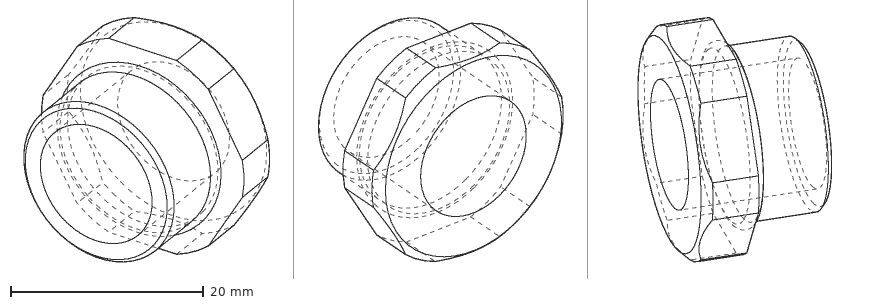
import cadquery as cq
import math

head_diameter = 24.95
across_flats = 23.5
head_sides = 6
head_length = 6.0
head_chamfer_radial = 1.0
head_chamfer_axial = 1.0

total_length = 15.0
shank_diameter = 18.55
shank_chamfer = 0.52
ring_outer_diameter = 19.97
bore_diameter = 13.78

across_corners = across_flats / math.cos(math.pi / head_sides)
head_radius = head_diameter / 2
shank_radius = shank_diameter / 2
shank_length = total_length - head_length
ring_bulge = ring_outer_diameter / 2 - shank_radius
ring_width = 2 * ring_bulge


def revolve_about_y(profile):
    """Turn a closed XY profile fully around the Y axis."""
    return profile.close().revolve(360, (0, 0, 0), (0, 1, 0))


def make_head():
    """Hexagon with flats facing +Z and -Z, cut by a chamfered round; seat at Y = 0."""
    hexagon = (
        cq.Workplane("XZ")
        .polygon(head_sides, across_corners)
        .extrude(-head_length)
    )
    turned_blank = revolve_about_y(
        cq.Workplane("XY")
        .moveTo(0, 0)
        .lineTo(head_radius, 0)
        .lineTo(head_radius, head_length - head_chamfer_axial)
        .lineTo(head_radius - head_chamfer_radial, head_length)
        .lineTo(0, head_length)
    )
    return hexagon.intersect(turned_blank)


def make_shank():
    """Shank towards -Y, with the seal ring under the head and a chamfered end."""
    return revolve_about_y(
        cq.Workplane("XY")
        .moveTo(0, 0)
        .lineTo(shank_radius, 0)
        .threePointArc((shank_radius + ring_bulge, -ring_bulge), (shank_radius, -ring_width))
        .lineTo(shank_radius, -shank_length + shank_chamfer)
        .lineTo(shank_radius - shank_chamfer, -shank_length)
        .lineTo(0, -shank_length)
    )


def make_bore():
    """Straight hole through the full length."""
    return (
        cq.Workplane("XZ", origin=(0, head_length, 0))
        .circle(bore_diameter / 2)
        .extrude(total_length)
    )


result = make_head().union(make_shank()).cut(make_bore())